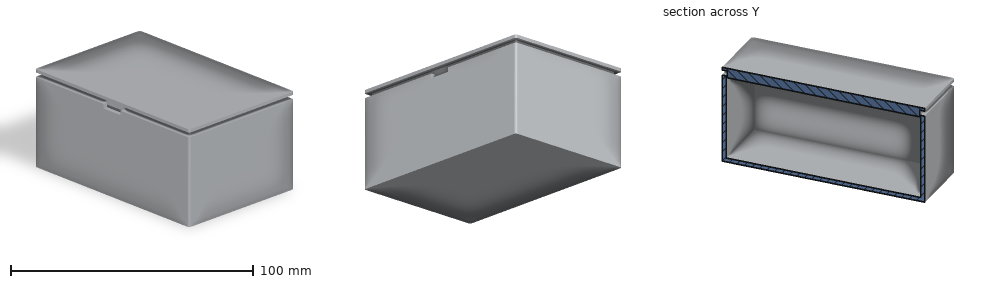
import cadquery as cq

length = 91.6
width = 60.0
total_height = 43.6
corner_radius = 1.0

box_height = 40.0
wall = 2.0
notch_width = 10.0
notch_depth = 2.0

plate_thickness = 1.5
plug_clearance = 0.3
plug_engagement = 1.0
plug_inset = wall + plug_clearance
plate_bottom = total_height - plate_thickness
plug_bottom = box_height - plug_engagement


def rounded_block(bottom, top):
    """Block with the full outer footprint and rounded vertical corners."""
    return (
        cq.Workplane("XY")
        .workplane(offset=bottom)
        .rect(length, width)
        .extrude(top - bottom)
        .edges("|Z")
        .fillet(corner_radius)
    )


def inset_block(inset, bottom, top):
    """Sharp-cornered block set in from the outer footprint on every side."""
    return (
        cq.Workplane("XY")
        .workplane(offset=bottom)
        .rect(length - 2 * inset, width - 2 * inset)
        .extrude(top - bottom)
    )


def make_box():
    """Open-topped box with a finger notch in the rim of both long walls."""
    cavity = inset_block(wall, wall, box_height)
    notches = (
        cq.Workplane("XY")
        .workplane(offset=box_height - notch_depth)
        .rect(notch_width, width)
        .extrude(notch_depth)
    )
    return rounded_block(0, box_height).cut(cavity).cut(notches)


def make_lid():
    """Lid raised above the rim, with its plug partly inside the box."""
    plate = rounded_block(plate_bottom, total_height)
    plug = inset_block(plug_inset, plug_bottom, plate_bottom)
    return plate.union(plug)


box = make_box()
lid = make_lid()

result = cq.Compound.makeCompound([box.val(), lid.val()])